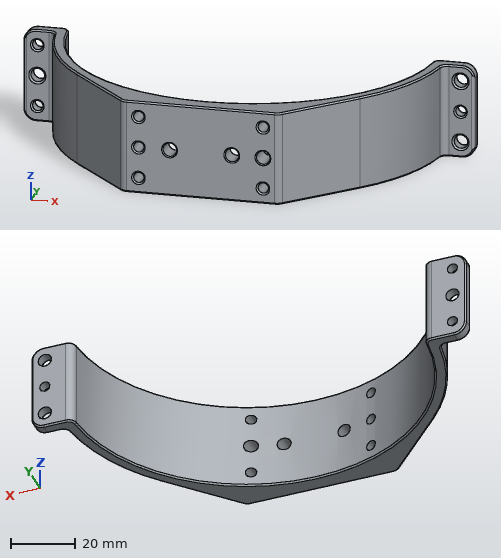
import cadquery as cq
import math

length = 144.9
depth = 62.7
height = 30.0

bore_center_y = 1.7
bore_radius = 58.5
outer_radius = 62.5
base_half_width = 25.0
base_corner_radius = 3.0

ear_thickness = 4.0
ear_root_radius = 2.3
ear_tip_radius = 1.0
bore_lip_radius = 2.6
ear_corner_radius = 4.0

edge_chamfer = 0.5

tapped_diameter = 3.3
clearance_diameter = 4.3
tapped_chamfer = 0.5
base_clearance_chamfer = 0.36
ear_clearance_chamfer = 0.6
hole_pitch = 10.0
ear_hole_x = 68.0
base_hole_x = 2 * hole_pitch

half_length = length / 2
half_height = height / 2


def circle_half_width(radius, y):
    """Half width, at the given Y, of a circle about the bore axis."""
    return math.sqrt(radius**2 - (y - bore_center_y) ** 2)


def flank_tangent_point():
    """Point where the line from the base corner touches the outer arc on the +X side."""
    drop = depth + bore_center_y
    corner_distance = math.hypot(base_half_width, drop)
    corner_angle = math.atan2(base_half_width, drop)
    touch_angle = corner_angle + math.acos(outer_radius / corner_distance)
    x = outer_radius * math.sin(touch_angle)
    y = bore_center_y - outer_radius * math.cos(touch_angle)
    return x, y


def make_band():
    """Saddle outline seen along Z, extruded over the full height."""
    root_x = circle_half_width(outer_radius, -ear_thickness)
    bore_x = circle_half_width(bore_radius, 0)
    touch_x, touch_y = flank_tangent_point()
    arc_mid_y = (touch_y - ear_thickness) / 2
    arc_mid_x = circle_half_width(outer_radius, arc_mid_y)
    band = (
        cq.Workplane("XY", origin=(0, 0, -half_height))
        .moveTo(-half_length, 0)
        .lineTo(-half_length, -ear_thickness)
        .lineTo(-root_x, -ear_thickness)
        .threePointArc((-arc_mid_x, arc_mid_y), (-touch_x, touch_y))
        .lineTo(-base_half_width, -depth)
        .lineTo(base_half_width, -depth)
        .lineTo(touch_x, touch_y)
        .threePointArc((arc_mid_x, arc_mid_y), (root_x, -ear_thickness))
        .lineTo(half_length, -ear_thickness)
        .lineTo(half_length, 0)
        .lineTo(bore_x, 0)
        .threePointArc((0, bore_center_y - bore_radius), (-bore_x, 0))
        .close()
        .extrude(height)
    )

    def edges_at(x, y):
        """Upright edges at the mirrored outline points (x, y) and (-x, y)."""
        margin = 0.1
        boxes = [
            cq.selectors.BoxSelector(
                (side * x - margin, y - margin, -height),
                (side * x + margin, y + margin, height),
            )
            for side in (-1, 1)
        ]
        return boxes[0] + boxes[1]

    band = band.edges(edges_at(base_half_width, -depth)).fillet(base_corner_radius)
    band = band.edges(edges_at(root_x, -ear_thickness)).fillet(ear_root_radius)
    return band.edges(edges_at(bore_x, 0)).fillet(bore_lip_radius)


def round_ear_corners(band):
    """Round the four outer ear corners seen along Y."""
    envelope = (
        cq.Workplane("XY")
        .box(length, 4 * depth, height)
        .edges("|Y")
        .fillet(ear_corner_radius)
    )
    return band.intersect(envelope)


def round_ear_tips(body):
    """Round the front upright edge at the free end of each ear."""
    tips = (
        cq.Workplane("XY")
        .box(length, ear_thickness, height)
        .edges("|Z and <Y")
        .fillet(ear_tip_radius)
        .translate((0, -ear_thickness / 2, 0))
    )
    inner = cq.Workplane("XY").box(length - 2 * ear_corner_radius, 4 * depth, height)
    return body.intersect(tips.union(inner))


def drill(body, face_y, diameter, mouth_chamfer, places):
    """Cut through holes along +Y, chamfered where they enter the face at face_y."""
    inward = cq.Vector(0, 1, 0)
    for x, z in places:
        start = cq.Vector(x, face_y, z)
        hole = cq.Solid.makeCylinder(diameter / 2, depth, start, inward)
        mouth_radius = diameter / 2 + mouth_chamfer
        mouth = cq.Solid.makeCone(mouth_radius, diameter / 2, mouth_chamfer, start, inward)
        body = body.cut(cq.Workplane(hole)).cut(cq.Workplane(mouth))
    return body


result = round_ear_corners(make_band())
result = result.faces("<Z or >Z").edges().chamfer(edge_chamfer)
result = round_ear_tips(result)

column = (-hole_pitch, 0, hole_pitch)
outer_rows = (-hole_pitch, hole_pitch)

base_tapped = [(-base_hole_x, z) for z in column] + [(base_hole_x, z) for z in outer_rows]
base_clearance = [(x, 0) for x in (-hole_pitch, hole_pitch, base_hole_x)]
result = drill(result, -depth, tapped_diameter, tapped_chamfer, base_tapped)
result = drill(result, -depth, clearance_diameter, base_clearance_chamfer, base_clearance)

ear_tapped = [(-ear_hole_x, z) for z in outer_rows] + [(ear_hole_x, 0)]
ear_clearance = [(ear_hole_x, z) for z in outer_rows] + [(-ear_hole_x, 0)]
result = drill(result, -ear_thickness, tapped_diameter, tapped_chamfer, ear_tapped)
result = drill(result, -ear_thickness, clearance_diameter, ear_clearance_chamfer, ear_clearance)